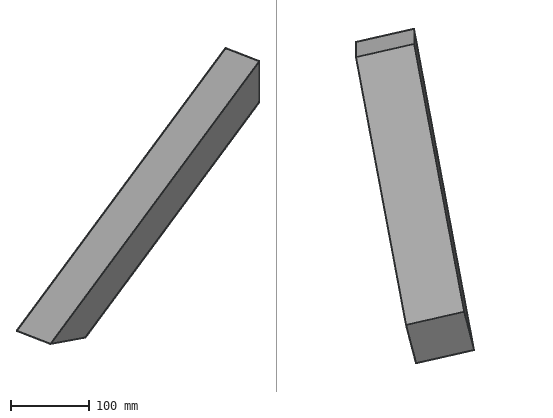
import cadquery as cq

width = 76.3
span = 323.3
end_face = 54.0

profile = [
    (0, 0),
    (end_face, 0),
    (span, span - end_face),
    (span, span),
]

result = (
    cq.Workplane("YZ")
    .polyline(profile)
    .close()
    .extrude(width / 2, both=True)
)